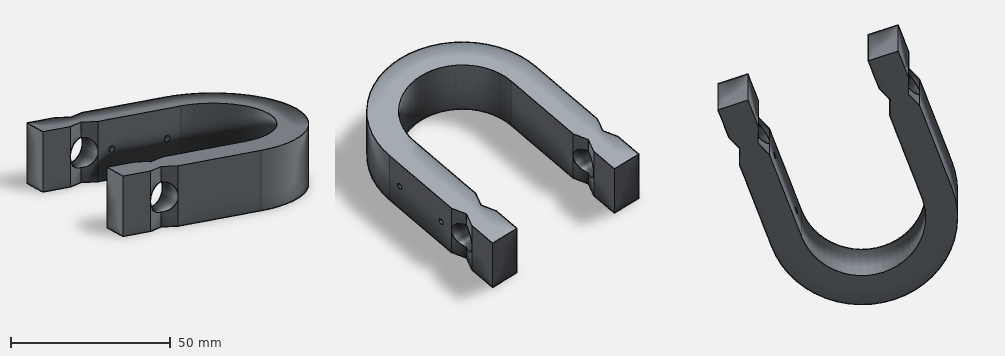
import cadquery as cq

total_length = 80.0
outer_width = 60.0
leg_thickness = 10.0
height = 20.0

foot_length = 10.0
groove_width = 10.0
groove_depth = 2.0
cross_hole_diameter = 10.0

pin_hole_diameter = 2.0
pin_hole_spacing = 20.0

outer_radius = outer_width / 2
inner_radius = outer_radius - leg_thickness
leg_length = total_length - outer_radius
groove_start = foot_length
groove_middle = groove_start + groove_width / 2
groove_end = groove_start + groove_width
pin_hole_offset = groove_width / 2
first_pin_y = groove_end + pin_hole_offset


def horseshoe():
    """U-shaped bar with its leg ends at Y = 0 and its bend toward +Y."""
    return (
        cq.Workplane("XY")
        .moveTo(-outer_radius, 0)
        .lineTo(-outer_radius, leg_length)
        .threePointArc((0, total_length), (outer_radius, leg_length))
        .lineTo(outer_radius, 0)
        .lineTo(inner_radius, 0)
        .lineTo(inner_radius, leg_length)
        .threePointArc((0, leg_length + inner_radius), (-inner_radius, leg_length))
        .lineTo(-inner_radius, 0)
        .close()
        .extrude(height)
    )


def v_groove(face_x, inward):
    """Full-height V cut into the leg face at face_x; inward is the sign of X into the leg."""
    return (
        cq.Workplane("XY")
        .moveTo(face_x, groove_start)
        .lineTo(face_x + inward * groove_depth, groove_middle)
        .lineTo(face_x, groove_end)
        .close()
        .extrude(height)
    )


def side_hole(y, diameter, length):
    """Mid-height hole along X, starting from the outer face of the -X leg."""
    return (
        cq.Workplane("YZ", origin=(-outer_radius, y, height / 2))
        .circle(diameter / 2)
        .extrude(length)
    )


result = horseshoe()

for side in (-1, 1):
    result = result.cut(v_groove(side * outer_radius, -side))
    result = result.cut(v_groove(side * inner_radius, side))

result = result.cut(side_hole(groove_middle, cross_hole_diameter, outer_width))

for pin_y in (first_pin_y, first_pin_y + pin_hole_spacing):
    result = result.cut(side_hole(pin_y, pin_hole_diameter, leg_thickness))